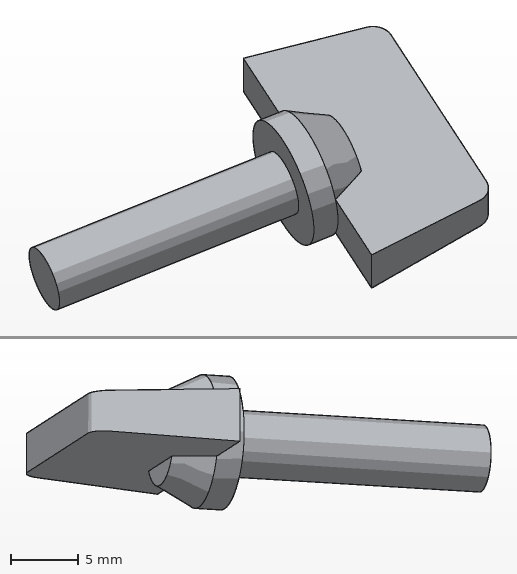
import cadquery as cq

total_length = 33.0
shaft_length = 20.0
shaft_diameter = 5.0
collar_diameter = 10.0
collar_length = 2.0
cone_length = 3.0
cone_end_diameter = 7.0
wing_width = 21.0
wing_end_width = 18.15
wing_thickness = 4.0
wing_end_thickness = 3.0
corner_radius = 1.5

collar_start = shaft_length
wing_start = collar_start + collar_length
cone_end = wing_start + cone_length
wing_end = total_length


def make_screw():
    """Shaft, collar and cone as one turned body."""
    shaft_radius = shaft_diameter / 2
    collar_radius = collar_diameter / 2
    profile = (
        cq.Workplane("XY")
        .moveTo(0, 0)
        .lineTo(shaft_radius, 0)
        .lineTo(shaft_radius, collar_start)
        .lineTo(collar_radius, collar_start)
        .lineTo(collar_radius, wing_start)
        .lineTo(cone_end_diameter / 2, cone_end)
        .lineTo(0, cone_end)
        .close()
    )
    return profile.revolve(360, (0, 0, 0), (0, 1, 0))


def make_wing():
    """Thumb grip that narrows in width and thickness, with rounded end corners."""
    outline = (
        cq.Workplane("XY")
        .moveTo(-wing_width / 2, wing_start)
        .lineTo(wing_width / 2, wing_start)
        .lineTo(wing_end_width / 2, wing_end)
        .lineTo(-wing_end_width / 2, wing_end)
        .close()
        .extrude(wing_thickness / 2, both=True)
        .edges("|Z and >Y")
        .fillet(corner_radius)
    )
    wedge = (
        cq.Workplane("YZ")
        .moveTo(wing_start, -wing_thickness / 2)
        .lineTo(wing_end, -wing_end_thickness / 2)
        .lineTo(wing_end, wing_end_thickness / 2)
        .lineTo(wing_start, wing_thickness / 2)
        .close()
        .extrude(wing_width / 2, both=True)
    )
    return outline.intersect(wedge)


result = make_screw().union(make_wing())